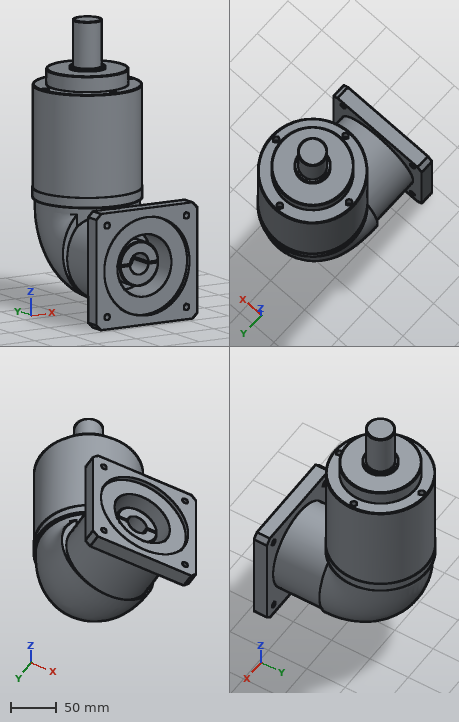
import cadquery as cq
import math


flange_side = 130.0
flange_thickness = 17.0
flange_front_y = -123.0
flange_corner_chamfer = 6.0
flange_hole_offset = 51.0
flange_hole_diameter = 6.7

recess_radius = 55.0
recess_depth = 5.0
bore_radius = 35.0
bore_depth = 48.0
hub_radius = 25.0
hub_edge_chamfer = 1.0
hub_setback = 15.7
hub_hole_diameter = 24.0
hub_slot_width = 2.2

neck_radius = 52.5
elbow_radius = 58.0
elbow_axis_y = -42.2
elbow_axis_z = elbow_radius - elbow_axis_y - neck_radius

ring_radius = 60.5
ring_bottom = 55.3
body_diameter = 120.0
body_bottom = 67.0
body_top = 182.2
pilot_radius = 45.0
pilot_top = 199.8
collar_radius = 19.8
collar_top = 202.5
shaft_radius = 16.0
overall_height = 319.7
shaft_top = overall_height - flange_side / 2
edge_chamfer = 1.0
mount_circle_radius = 53.7
mount_hole_diameter = 7.0
mount_hole_depth = 16.0
drill_tip_angle = 118


def upright(radius, bottom, top):
    """Cylinder on the output axis."""
    return cq.Workplane("XY").workplane(offset=bottom).circle(radius).extrude(top - bottom)


def along_input(radius, front_y, depth):
    """Cylinder on the input axis, running from front_y towards +Y."""
    return cq.Workplane("XZ", origin=(0, front_y, 0)).circle(radius).extrude(-depth)


def make_output_side():
    side = upright(ring_radius, ring_bottom, body_bottom).faces("<Z").chamfer(edge_chamfer)
    steps = [
        (body_diameter / 2, body_bottom, body_top),
        (pilot_radius, body_top, pilot_top),
        (collar_radius, pilot_top, collar_top),
        (shaft_radius, collar_top, shaft_top),
    ]
    for radius, bottom, top in steps:
        side = side.union(upright(radius, bottom, top).faces(">Z").chamfer(edge_chamfer))
    mount_hole_radius = mount_hole_diameter / 2
    tip_length = mount_hole_radius / math.tan(math.radians(drill_tip_angle / 2))
    drill = (
        cq.Workplane("XZ")
        .moveTo(0, body_top)
        .lineTo(mount_hole_radius, body_top)
        .lineTo(mount_hole_radius, body_top - mount_hole_depth)
        .lineTo(0, body_top - mount_hole_depth - tip_length)
        .close()
        .revolve(360, (0, 0, 0), (0, 1, 0))
        .translate((mount_circle_radius, 0, 0))
    )
    for index in range(4):
        side = side.cut(drill.rotate((0, 0, 0), (0, 0, 1), 90 * index))
    return side


def make_elbow():
    half_chord = math.sqrt(elbow_radius**2 - elbow_axis_y**2)
    bend = (
        cq.Workplane("XY", origin=(0, 0, elbow_axis_z))
        .moveTo(-half_chord, elbow_axis_y)
        .threePointArc((0, elbow_radius), (half_chord, elbow_axis_y))
        .close()
        .revolve(90, (0, elbow_axis_y, 0), (-1, elbow_axis_y, 0))
    )
    bend_top = upright(elbow_radius, elbow_axis_z, ring_bottom).rotate((0, 0, 0), (0, 0, 1), -90)
    front_zone = cq.Workplane("XY").box(
        2 * elbow_radius, elbow_radius, elbow_axis_z, centered=(True, False, False)
    ).translate((0, elbow_axis_y - elbow_radius, 0))
    front_fill = upright(elbow_radius, 0, elbow_axis_z).intersect(front_zone)
    neck = along_input(neck_radius, flange_front_y, elbow_axis_y - flange_front_y)
    return bend.union(bend_top).union(front_fill).union(neck)


def make_flange():
    return (
        cq.Workplane("XZ", origin=(0, flange_front_y, 0))
        .rect(flange_side, flange_side)
        .extrude(-flange_thickness)
        .edges("|Y")
        .chamfer(flange_corner_chamfer)
    )


def make_flange_holes():
    spacing = 2 * flange_hole_offset
    return (
        cq.Workplane("XZ", origin=(0, flange_front_y, 0))
        .rarray(spacing, spacing, 2, 2)
        .circle(flange_hole_diameter / 2)
        .extrude(-flange_thickness)
    )


def make_hub():
    hub_length = bore_depth - hub_setback
    hub_front_y = flange_front_y + hub_setback
    hub = along_input(hub_radius, hub_front_y, hub_length).faces("<Y").chamfer(hub_edge_chamfer)
    slot = (
        cq.Workplane("XZ", origin=(0, hub_front_y, 0))
        .rect(2 * hub_radius, hub_slot_width)
        .extrude(-hub_length)
    )
    return hub.cut(slot).cut(along_input(hub_hole_diameter / 2, hub_front_y, hub_length))


result = make_output_side().union(make_elbow()).union(make_flange())
result = result.cut(make_flange_holes())
result = result.cut(along_input(recess_radius, flange_front_y, recess_depth))
result = result.cut(along_input(bore_radius, flange_front_y, bore_depth))
result = result.union(make_hub())